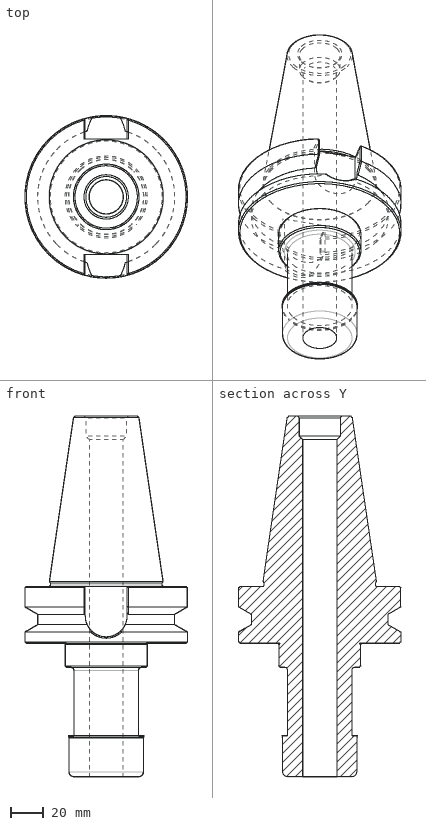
import cadquery as cq
import math

total_length = 221.8

gauge_plane_z = 120.0
gauge_radius = 35.0
taper_slope = 7 / 48
tip_radius = gauge_radius - (total_length - gauge_plane_z) * taper_slope
tip_face_radius = 38.4 / 2
tip_chamfer = tip_radius - tip_face_radius
neck_radius = 34.4
neck_top_z = 119.0
neck_fillet = 0.9

flange_radius = 100.0 / 2
flange_top_z = 117.0
flange_bottom_z = 82.0
flange_chamfer = 0.9
groove_center_z = 96.7
groove_floor_radius = 42.1
groove_floor_width = 6.2
groove_flank_angle = 30.0
groove_flank_height = (flange_radius - groove_floor_radius) * math.tan(math.radians(groove_flank_angle))
groove_floor_half = groove_floor_width / 2
groove_mouth_half = groove_floor_half + groove_flank_height

collar_radius = 50.5 / 2
collar_bottom_z = 67.2
collar_chamfer = 0.9
body_radius = 40.0 / 2
body_fillet = 1.8
nut_radius = 46.0 / 2
nut_rim_radius = 46.4 / 2
nut_height = 25.3
nut_rim_height = 0.7
nut_rim_taper = 0.7
nut_nose_fillet = 3.0

through_radius = 20.8 / 2
pilot_radius = 25.0 / 2
pilot_depth = 12.5
pilot_mouth_chamfer = 1.0

slot_half_width = 12.9
slot_floor_y = 35.5
slot_arc_z = 99.0
slot_end_z = slot_arc_z - slot_half_width


def body_of_revolution():
    """Outer shape of the holder as one half profile turned about Z."""
    profile = (
        cq.Workplane("XZ")
        .moveTo(0, 0)
        .lineTo(nut_radius - nut_nose_fillet, 0)
        .radiusArc((nut_radius, nut_nose_fillet), -nut_nose_fillet)
        .lineTo(nut_radius, nut_height - nut_rim_height - nut_rim_taper)
        .lineTo(nut_rim_radius, nut_height - nut_rim_height)
        .lineTo(nut_rim_radius, nut_height)
        .lineTo(body_radius, nut_height)
        .lineTo(body_radius, collar_bottom_z - body_fillet)
        .radiusArc((body_radius + body_fillet, collar_bottom_z), body_fillet)
        .lineTo(collar_radius - collar_chamfer, collar_bottom_z)
        .lineTo(collar_radius, collar_bottom_z + collar_chamfer)
        .lineTo(collar_radius, flange_bottom_z - collar_chamfer)
        .lineTo(collar_radius - collar_chamfer, flange_bottom_z)
        .lineTo(flange_radius - flange_chamfer, flange_bottom_z)
        .lineTo(flange_radius, flange_bottom_z + flange_chamfer)
        .lineTo(flange_radius, groove_center_z - groove_mouth_half)
        .lineTo(groove_floor_radius, groove_center_z - groove_floor_half)
        .lineTo(groove_floor_radius, groove_center_z + groove_floor_half)
        .lineTo(flange_radius, groove_center_z + groove_mouth_half)
        .lineTo(flange_radius, flange_top_z)
        .lineTo(neck_radius + neck_fillet, flange_top_z)
        .radiusArc((neck_radius, flange_top_z + neck_fillet), neck_fillet)
        .lineTo(neck_radius, neck_top_z)
        .lineTo(gauge_radius, gauge_plane_z)
        .lineTo(tip_radius, total_length - tip_chamfer)
        .lineTo(tip_face_radius, total_length)
        .lineTo(0, total_length)
        .close()
    )
    return profile.revolve(360, (0, 0, 0), (0, 1, 0))


def bore():
    """Through hole, opened at the taper tip into a pilot bore with a conical floor."""
    pilot_floor_z = total_length - pilot_depth
    cone_height = pilot_radius - through_radius
    profile = (
        cq.Workplane("XZ")
        .moveTo(0, 0)
        .lineTo(through_radius, 0)
        .lineTo(through_radius, pilot_floor_z - cone_height)
        .lineTo(pilot_radius, pilot_floor_z)
        .lineTo(pilot_radius, total_length - pilot_mouth_chamfer)
        .lineTo(pilot_radius + pilot_mouth_chamfer, total_length)
        .lineTo(0, total_length)
        .close()
    )
    return profile.revolve(360, (0, 0, 0), (0, 1, 0))


def drive_slot():
    """U-shaped slot on the -Y side, open at the top of the flange."""
    return (
        cq.Workplane("XZ", origin=(0, -slot_floor_y, 0))
        .moveTo(-slot_half_width, flange_top_z)
        .lineTo(-slot_half_width, slot_arc_z)
        .threePointArc((0, slot_end_z), (slot_half_width, slot_arc_z))
        .lineTo(slot_half_width, flange_top_z)
        .close()
        .extrude(flange_radius)
    )


def is_chamfered_edge(edge):
    """True for the top rim of the flange and the outer edges of the drive slots."""
    tolerance = 0.02
    box = edge.BoundingBox()
    is_outside_groove = abs(edge.Center().y) > groove_floor_radius
    is_at_top = abs(box.zmin - flange_top_z) < tolerance
    reaches_top = abs(box.zmax - flange_top_z) < tolerance

    is_rim = is_at_top and edge.geomType() == "CIRCLE" and box.ylen > 2 * slot_floor_y
    is_slot_top = is_at_top and edge.geomType() == "LINE" and box.xlen < tolerance
    is_slot_side = reaches_top and not is_at_top and is_outside_groove
    is_slot_flank = edge.geomType() == "HYPERBOLA"
    is_slot_end = abs(box.zmin - slot_end_z) < tolerance and is_outside_groove
    return is_rim or is_slot_top or is_slot_side or is_slot_flank or is_slot_end


holder = body_of_revolution().cut(bore())
for turn in (0, 180):
    holder = holder.cut(drive_slot().rotate((0, 0, 0), (0, 0, 1), turn))

chamfered_edges = [edge for edge in holder.edges().vals() if is_chamfered_edge(edge)]
result = holder.newObject(chamfered_edges).chamfer(flange_chamfer)